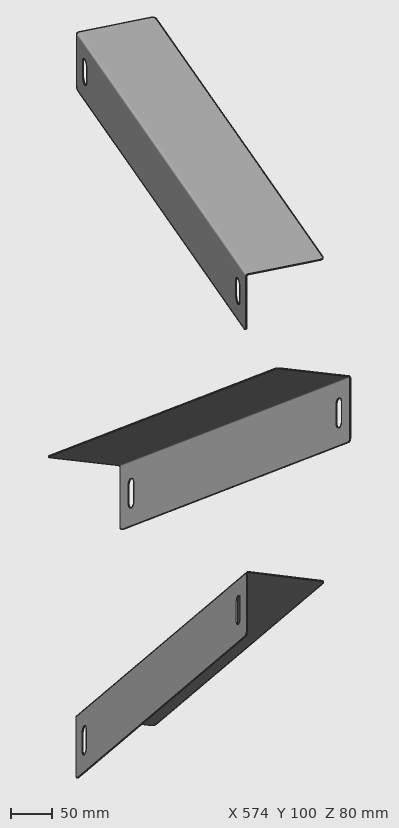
import cadquery as cq

length = 574.0
top_flange_depth = 100.0
front_flange_height = 80.0
sheet_thickness = 1.5
inner_bend_radius = 1.5
corner_radius = 5.0

slot_width = 14.0
slot_height = 36.0
slot_end_offset = 27.5
slot_drop = 40.0

outer_bend_radius = inner_bend_radius + sheet_thickness


def make_angle():
    """L-shaped sheet: outer bend edge along X, at the front and top of the part."""
    profile = (
        cq.Workplane("YZ")
        .moveTo(0, -front_flange_height)
        .lineTo(0, -outer_bend_radius)
        .radiusArc((outer_bend_radius, 0), outer_bend_radius)
        .lineTo(top_flange_depth, 0)
        .lineTo(top_flange_depth, -sheet_thickness)
        .lineTo(outer_bend_radius, -sheet_thickness)
        .radiusArc((sheet_thickness, -outer_bend_radius), -inner_bend_radius)
        .lineTo(sheet_thickness, -front_flange_height)
        .close()
    )
    return profile.extrude(length / 2, both=True)


def round_free_corners(angle):
    """Round the two free corners of each flange."""
    angle = angle.faces(">Y").edges("|Z").fillet(corner_radius)
    return angle.faces("<Z").edges("|Y").fillet(corner_radius)


def make_slot_cutters():
    """Upright obround cutters through the front flange, one near each end."""
    slot_x = length / 2 - slot_end_offset
    return (
        cq.Workplane("XZ")
        .pushPoints([(-slot_x, -slot_drop), (slot_x, -slot_drop)])
        .slot2D(slot_height, slot_width, 90)
        .extrude(-sheet_thickness)
    )


result = round_free_corners(make_angle()).cut(make_slot_cutters())